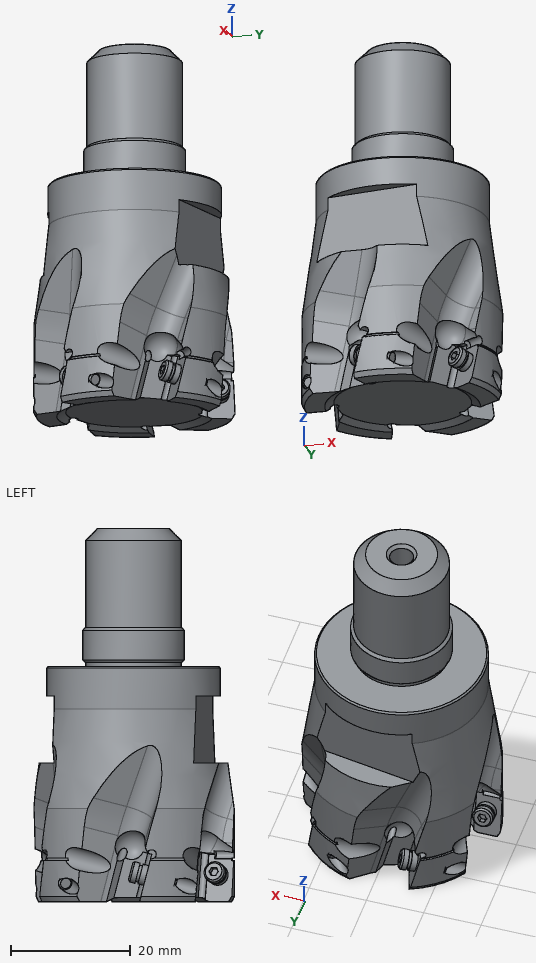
import cadquery as cq
import math

TOOTH_COUNT = 5
TOOTH_PITCH = 360 / TOOTH_COUNT
HELIX_ANGLE = 14.5

TOTAL_HEIGHT = 62.28
SHANK_LENGTH = 23.0
SHOULDER_Z = TOTAL_HEIGHT - SHANK_LENGTH
COLLAR_BOTTOM_Z = SHOULDER_Z - 7.1
CONE_BOTTOM_Z = 15.6
RIM_Z = 6.9
COLLAR_RADIUS = 14.5
HEAD_RADIUS = 16.82
RIM_RADIUS = 16.88
RIM_GROOVE_RADIUS = 16.55
RIM_GROOVE_HEIGHT = 0.4
SHOULDER_CHAMFER = 0.3
RIM_CHAMFER = 0.5
RIM_CHAMFER_HEIGHT = 0.9

SHANK_RADIUS = 8.0
SHANK_CHAMFER = 2.0
GUIDE_RADIUS = 8.5
GUIDE_TOP_Z = SHOULDER_Z + 6.5
GUIDE_BOTTOM_Z = SHOULDER_Z + 0.6
GUIDE_CHAMFER = GUIDE_RADIUS - SHANK_RADIUS
BORE_RADIUS = 2.0
BORE_BOTTOM_Z = 14.0
BORE_CHAMFER = 0.55

DISH_DEPTH = 0.7
DISH_RADIUS = 13.0
DISH_FLOOR_RADIUS = 11.5

ACROSS_FLATS = 24.0
FLAT_BOTTOM_Z = 23.2
FLAT_TOP_Z = 34.3
FLAT_ANGLE = -10

FLUTE_CORNER_RADIUS = 3.45
FLUTE_CORNER_SWEEP = 100.0
FLUTE_FLOOR_TILT = 21.0
FLUTE_CORNER_X = 12.45
FLUTE_CORNER_FORWARD = 6.25
FLUTE_REACH = 14.0
FLUTE_WALL_LENGTH = 10.0
FLUTE_BEND_START = 9.8
FLUTE_BEND_LENGTH = 5.1
FLUTE_BEND_ANGLE = 12.5
FLUTE_EXIT_LENGTH = 25.0

DOME_RADIUS = 2.85
DOME_END_X = 13.2
DOME_AXIS_Y = 0.3
DOME_AXIS_Z = 9.1
DOME_SLOPE = 31

FACE_Y = -1.0
SEAT_WALL_X = 11.2
SEAT_DEPTH = 4.3
SEAT_RAMP_RISE = 3.0
SEAT_RAMP_RUN = 3.0
SEAT_TOP = 8.2
RELIEF_RADIUS = 0.75
CORNER_RELIEF_X = 11.45
CORNER_RELIEF_TOP = 8.9
EDGE_RELIEF_X = 13.3

SCREW_X = 14.2
SCREW_Y = 4.55
SCREW_RADIUS = 1.2
SCREW_TIP_DEPTH = 5.2
SCREW_TIP_CHAMFER = 0.3
SCREW_HEAD_RADIUS = 1.75
SCREW_COLLAR_RADIUS = 1.7
SCREW_WAIST_RADIUS = 1.4
SCREW_COLLAR_TOP = 1.0
SCREW_WAIST_TOP = 1.5
SCREW_HEAD_TOP = 2.7
SCREW_HEAD_CHAMFER = 0.3
SOCKET_SIZE = 1.6
SOCKET_DEPTH = 1.0
SCREW_HOLE_LENGTH = 14.0
ACCESS_RADIUS = 1.8
ACCESS_OFFSET = -0.2

COOLANT_RADIUS = 0.7
COOLANT_EXIT = cq.Vector(-12.6, 2.1, 7.1)

BEYOND = 20.0

helix = math.radians(HELIX_ANGLE)
FORWARD = cq.Vector(0, math.cos(helix), math.sin(helix))
ALONG = cq.Vector(0, -math.sin(helix), math.cos(helix))
OUTWARD = cq.Vector(-1, 0, 0)
FACE_ORIGIN = cq.Vector(0, FACE_Y, 0)


def tooth_point(x, y, z):
    """Point given outward, up along the tooth and forward of its leading face."""
    return FACE_ORIGIN + OUTWARD * x + ALONG * y + FORWARD * z


def face_workplane(x, y, z=0):
    """Workplane parallel to the leading face of the reference tooth."""
    return cq.Workplane(cq.Plane(tooth_point(x, y, z), OUTWARD, FORWARD))


def around(shape, index):
    """Copy of a reference-tooth shape turned to the tooth with this index."""
    return shape.rotate((0, 0, 0), (0, 0, 1), index * TOOTH_PITCH)


def turned_blank():
    bottom_radius = RIM_RADIUS - RIM_CHAMFER
    bore_mouth = BORE_RADIUS + BORE_CHAMFER
    profile = [
        (0, DISH_DEPTH),
        (DISH_FLOOR_RADIUS, DISH_DEPTH),
        (DISH_RADIUS, 0),
        (bottom_radius, 0),
        (RIM_RADIUS, RIM_CHAMFER_HEIGHT),
        (RIM_RADIUS, RIM_Z),
        (RIM_GROOVE_RADIUS, RIM_Z),
        (RIM_GROOVE_RADIUS, RIM_Z + RIM_GROOVE_HEIGHT),
        (HEAD_RADIUS, RIM_Z + RIM_GROOVE_HEIGHT),
        (HEAD_RADIUS, CONE_BOTTOM_Z),
        (COLLAR_RADIUS, COLLAR_BOTTOM_Z),
        (COLLAR_RADIUS, SHOULDER_Z - SHOULDER_CHAMFER),
        (COLLAR_RADIUS - SHOULDER_CHAMFER, SHOULDER_Z),
        (SHANK_RADIUS, SHOULDER_Z),
        (SHANK_RADIUS, GUIDE_BOTTOM_Z),
        (GUIDE_RADIUS, GUIDE_BOTTOM_Z + GUIDE_CHAMFER),
        (GUIDE_RADIUS, GUIDE_TOP_Z - GUIDE_CHAMFER),
        (SHANK_RADIUS, GUIDE_TOP_Z),
        (SHANK_RADIUS, TOTAL_HEIGHT - SHANK_CHAMFER),
        (SHANK_RADIUS - SHANK_CHAMFER, TOTAL_HEIGHT),
        (bore_mouth, TOTAL_HEIGHT),
        (BORE_RADIUS, TOTAL_HEIGHT - BORE_CHAMFER),
        (BORE_RADIUS, BORE_BOTTOM_Z),
        (0, BORE_BOTTOM_Z),
    ]
    return cq.Workplane("XZ").polyline(profile).close().revolve(360, (0, 0), (0, 1))


def wrench_flat_cutter():
    height = FLAT_TOP_Z - FLAT_BOTTOM_Z
    middle = (FLAT_TOP_Z + FLAT_BOTTOM_Z) / 2
    offset = (ACROSS_FLATS + BEYOND) / 2
    sides = cq.Workplane("XY").pushPoints([(0, -offset), (0, offset)])
    blocks = sides.box(2 * RIM_RADIUS, BEYOND, height).translate((0, 0, middle))
    return blocks.rotate((0, 0, 0), (0, 0, 1), FLAT_ANGLE)


def flute_cutter():
    """Flute profile swept up along the tooth, then bent outward until it leaves the body."""
    tilt = math.radians(FLUTE_FLOOR_TILT)
    floor_normal = OUTWARD * math.cos(tilt) - FORWARD * math.sin(tilt)
    start = -FLUTE_CORNER_RADIUS
    origin = tooth_point(FLUTE_CORNER_X, start, FLUTE_CORNER_FORWARD)
    corner_plane = cq.Plane(origin, floor_normal, ALONG)
    sweep = math.radians(FLUTE_CORNER_SWEEP)

    def on_corner(angle):
        height = FLUTE_CORNER_RADIUS * (1 - math.cos(angle))
        return (height, FLUTE_CORNER_RADIUS * math.sin(angle))

    wall_end = on_corner(sweep)
    profile = (
        cq.Workplane(corner_plane)
        .threePointArc(on_corner(sweep / 2), wall_end)
        .line(FLUTE_WALL_LENGTH * math.sin(sweep), FLUTE_WALL_LENGTH * math.cos(sweep))
        .lineTo(FLUTE_WALL_LENGTH, -FLUTE_REACH)
        .lineTo(0, -FLUTE_REACH)
        .close()
    )
    bend = math.radians(FLUTE_BEND_ANGLE)
    bend_radius = FLUTE_BEND_LENGTH / bend
    straight = FLUTE_BEND_START - start

    def on_bend(angle):
        return (bend_radius * (1 - math.cos(angle)), straight + bend_radius * math.sin(angle))

    bend_end = on_bend(bend)
    path_plane = cq.Plane(origin, floor_normal, floor_normal.cross(ALONG))
    path = (
        cq.Workplane(path_plane)
        .lineTo(0, straight)
        .threePointArc(on_bend(bend / 2), bend_end)
        .line(FLUTE_EXIT_LENGTH * math.sin(bend), FLUTE_EXIT_LENGTH * math.cos(bend))
    )
    return profile.sweep(path)


def dome_cutter():
    slope = math.radians(DOME_SLOPE)
    downhill = cq.Vector(-math.cos(slope), 0, -math.sin(slope))
    start = cq.Vector(-DOME_END_X, DOME_AXIS_Y, DOME_AXIS_Z)
    barrel = cq.Workplane(cq.Solid.makeCylinder(DOME_RADIUS, BEYOND, start, downhill))
    return barrel.union(cq.Workplane("XY").sphere(DOME_RADIUS).translate(start))


def seat_cutter():
    """Insert seat with a ramp out to the flute floor and relief grooves at its inner edges."""
    below = -SEAT_TOP / 2
    seat = (
        cq.Workplane(cq.Plane(tooth_point(0, below, 0), OUTWARD, ALONG))
        .moveTo(SEAT_WALL_X, 0)
        .lineTo(SEAT_WALL_X, -SEAT_DEPTH)
        .line(SEAT_RAMP_RISE, -SEAT_RAMP_RUN)
        .lineTo(BEYOND, -SEAT_DEPTH - SEAT_RAMP_RUN)
        .lineTo(BEYOND, 0)
        .close()
        .extrude(SEAT_TOP - below)
    )
    corner_start = tooth_point(CORNER_RELIEF_X, below, 0)
    corner = cq.Solid.makeCylinder(RELIEF_RADIUS, CORNER_RELIEF_TOP - below, corner_start, ALONG)
    edge_start = tooth_point(EDGE_RELIEF_X, SEAT_TOP, 0)
    edge = cq.Solid.makeCylinder(RELIEF_RADIUS, BEYOND, edge_start, OUTWARD)
    return seat.union(cq.Workplane(corner)).union(cq.Workplane(edge))


def screw_cutters():
    """Threaded hole behind the seat and clearance for the driver in front of it."""
    hole = face_workplane(SCREW_X, SCREW_Y).circle(SCREW_RADIUS).extrude(-SCREW_HOLE_LENGTH)
    access = face_workplane(SCREW_X, SCREW_Y + ACCESS_OFFSET).circle(ACCESS_RADIUS).extrude(BEYOND)
    return hole, access


def coolant_cutter():
    start = cq.Vector(0, 0, BORE_BOTTOM_Z)
    run = COOLANT_EXIT - start
    return cq.Workplane(cq.Solid.makeCylinder(COOLANT_RADIUS, run.Length, start, run))


def make_cutter_body():
    body = turned_blank().cut(wrench_flat_cutter())
    hole, access = screw_cutters()
    cutters = [flute_cutter(), dome_cutter(), seat_cutter(), hole, access, coolant_cutter()]
    for index in range(TOOTH_COUNT):
        for cutter in cutters:
            body = body.cut(around(cutter, index))
    return body


def make_screw():
    """Clamping screw standing in the seat, with its hexagon socket facing forward."""
    profile = [
        (0, -SCREW_TIP_DEPTH),
        (SCREW_RADIUS - SCREW_TIP_CHAMFER, -SCREW_TIP_DEPTH),
        (SCREW_RADIUS, SCREW_TIP_CHAMFER - SCREW_TIP_DEPTH),
        (SCREW_RADIUS, 0),
        (SCREW_COLLAR_RADIUS, 0),
        (SCREW_COLLAR_RADIUS, SCREW_COLLAR_TOP),
        (SCREW_WAIST_RADIUS, SCREW_COLLAR_TOP),
        (SCREW_WAIST_RADIUS, SCREW_WAIST_TOP),
        (SCREW_HEAD_RADIUS, SCREW_WAIST_TOP),
        (SCREW_HEAD_RADIUS, SCREW_HEAD_TOP - SCREW_HEAD_CHAMFER),
        (SCREW_HEAD_RADIUS - SCREW_HEAD_CHAMFER, SCREW_HEAD_TOP),
        (0, SCREW_HEAD_TOP),
    ]
    section_plane = cq.Plane(tooth_point(SCREW_X, SCREW_Y, 0), OUTWARD, OUTWARD.cross(FORWARD))
    screw = cq.Workplane(section_plane).polyline(profile).close().revolve(360, (0, 0), (0, 1))
    socket = (
        face_workplane(SCREW_X, SCREW_Y, SCREW_HEAD_TOP)
        .polygon(6, SOCKET_SIZE)
        .extrude(-SOCKET_DEPTH)
    )
    return screw.cut(socket)


cutter_body = make_cutter_body()
screw = make_screw()
screws = [around(screw, index) for index in range(TOOTH_COUNT)]

result = cq.Compound.makeCompound([cutter_body.val(), *[copy.val() for copy in screws]])